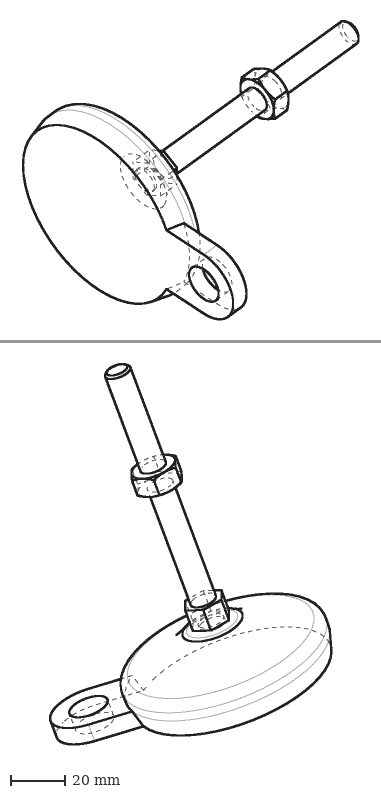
import cadquery as cq
import math

TOTAL_LENGTH = 135.0

PAD_RADIUS = 80.0 / 2
SOLE_RADIUS = 38.1
TAPER_TOP = 7.5
RIM_TOP = 11.1
SHOULDER_HEIGHT = 15.0
SHOULDER_RADIUS = 36.3
FLARE_MID_RADIUS = 22.1
FLARE_MID_HEIGHT = 18.2
FLARE_TOP_RADIUS = 11.7
FLARE_TOP_HEIGHT = 24.5
CROWN_RADIUS = 10.0
CROWN_HEIGHT = 25.0

LUG_RADIUS = 15.0
LUG_HOLE_DIAMETER = 15.0
LUG_REACH = 54.0
LUG_THICKNESS = 7.2

STUD_DIAMETER = 10.0
STUD_CHAMFER = 1.0

COLLAR_FLATS = 14.0
COLLAR_START = 26.2
COLLAR_THICKNESS = 8.9
NUT_FLATS = 17.0
NUT_START = 85.0
NUT_THICKNESS = 8.0
NUT_CHAMFER_ANGLE = 30


def plane_at(height):
    """Workplane at a height above the sole: local x is -X, local y is Z, normal is +Y."""
    return cq.Workplane(cq.Plane(origin=(0, height, 0), xDir=(-1, 0, 0), normal=(0, 1, 0)))


def revolve_profile(profile):
    return profile.close().revolve(360, (0, 0, 0), (0, 1, 0))


def make_pad():
    corner_width = PAD_RADIUS - SHOULDER_RADIUS
    corner_height = SHOULDER_HEIGHT - RIM_TOP
    corner_mid = (
        SHOULDER_RADIUS + corner_width * math.cos(math.pi / 4),
        RIM_TOP + corner_height * math.sin(math.pi / 4),
    )
    profile = (
        cq.Workplane("XY")
        .lineTo(SOLE_RADIUS, 0)
        .lineTo(PAD_RADIUS, TAPER_TOP)
        .lineTo(PAD_RADIUS, RIM_TOP)
        .threePointArc(corner_mid, (SHOULDER_RADIUS, SHOULDER_HEIGHT))
        .threePointArc((FLARE_MID_RADIUS, FLARE_MID_HEIGHT), (FLARE_TOP_RADIUS, FLARE_TOP_HEIGHT))
        .lineTo(CROWN_RADIUS, CROWN_HEIGHT)
        .lineTo(0, CROWN_HEIGHT)
    )
    return revolve_profile(profile)


def make_lug():
    arm = cq.Workplane("XY").box(
        LUG_REACH, LUG_THICKNESS, 2 * LUG_RADIUS, centered=(False, False, True)
    )
    eye = plane_at(0).center(-LUG_REACH, 0).circle(LUG_RADIUS).extrude(LUG_THICKNESS)
    hole = plane_at(0).center(-LUG_REACH, 0).circle(LUG_HOLE_DIAMETER / 2).extrude(LUG_THICKNESS)
    return arm.union(eye).cut(hole)


def make_stud():
    stud_start = SHOULDER_HEIGHT
    stud = plane_at(stud_start).circle(STUD_DIAMETER / 2).extrude(TOTAL_LENGTH - stud_start)
    return stud.faces(">Y").chamfer(STUD_CHAMFER)


def make_hexagon(start, flats, thickness):
    across_corners = flats / math.cos(math.pi / 6)
    return (
        plane_at(start)
        .transformed(rotate=(0, 0, 90))
        .polygon(6, across_corners)
        .extrude(thickness)
    )


def make_nut():
    """Hexagon nut with its corners turned to a cone at both ends."""
    flat_radius = NUT_FLATS / 2
    corner_radius = flat_radius / math.cos(math.pi / 6)
    drop = (corner_radius - flat_radius) * math.tan(math.radians(NUT_CHAMFER_ANGLE))
    nut_end = NUT_START + NUT_THICKNESS
    turned_profile = (
        cq.Workplane("XY")
        .moveTo(0, NUT_START)
        .lineTo(flat_radius, NUT_START)
        .lineTo(corner_radius, NUT_START + drop)
        .lineTo(corner_radius, nut_end - drop)
        .lineTo(flat_radius, nut_end)
        .lineTo(0, nut_end)
    )
    hexagon = make_hexagon(NUT_START, NUT_FLATS, NUT_THICKNESS)
    return hexagon.intersect(revolve_profile(turned_profile))


collar = make_hexagon(COLLAR_START, COLLAR_FLATS, COLLAR_THICKNESS)
result = make_pad().union(make_lug()).union(make_stud()).union(collar).union(make_nut())